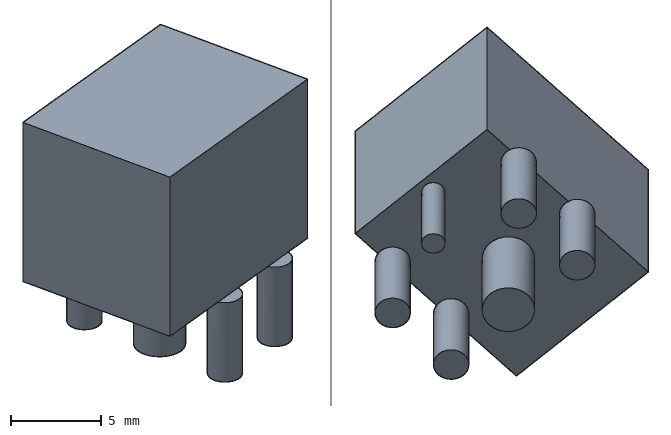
import cadquery as cq

overall_width = 11.55
overall_height = 15.4

housing_width = 10.04
housing_depth = 13.0
housing_height = 10.27

pin_length = overall_height - housing_height
terminal_diameter = 1.95
terminal_x = (overall_width - terminal_diameter) / 2
terminal_rows_y = (3.71, -1.0)
center_post_diameter = 2.9
center_post_y = terminal_rows_y[1] + (center_post_diameter - terminal_diameter) / 2
locating_pin_diameter = 1.3
locating_pin_y = 5.51


def make_housing():
    """Plain rectangular block standing on Z = 0."""
    return cq.Workplane("XY").box(
        housing_width, housing_depth, housing_height, centered=(True, True, False)
    )


def make_pin(diameter, x, y):
    """Straight round pin hanging from the housing underside."""
    return cq.Workplane("XY").center(x, y).circle(diameter / 2).extrude(-pin_length)


housing = make_housing()

terminals = []
for y in terminal_rows_y:
    for x in (-terminal_x, terminal_x):
        terminals.append(make_pin(terminal_diameter, x, y))

center_post = make_pin(center_post_diameter, 0, center_post_y)
locating_pin = make_pin(locating_pin_diameter, 0, locating_pin_y)

result = cq.Compound.makeCompound([
    housing.val(),
    *[terminal.val() for terminal in terminals],
    center_post.val(),
    locating_pin.val(),
])